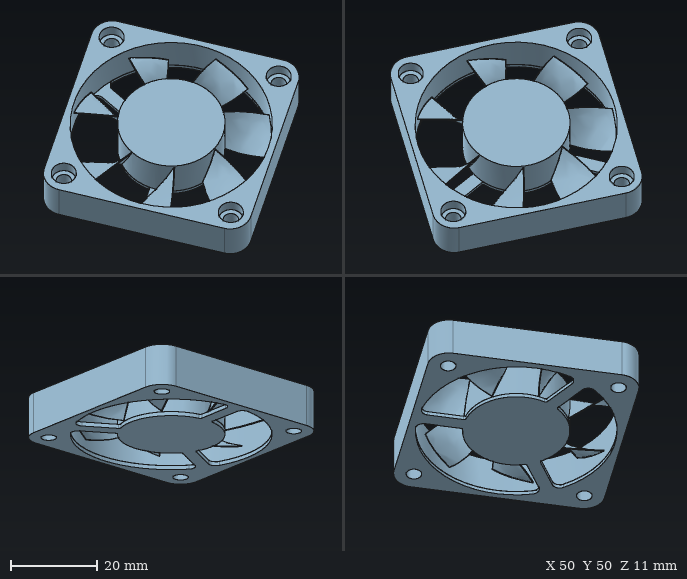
import cadquery as cq
import math

frame_width = 50.0
frame_height = 10.0
corner_radius = 5.0
bore_diameter = 47.0

hole_spacing = 40.4
hole_diameter = 3.6
counterbore_diameter = 5.8
counterbore_depth = 3.0

floor_thickness = 1.0
opening_diameter = 46.9
spoke_width = 3.3
spoke_angles = (30, 150, 270)
outer_corner_radius = 1.8
inner_corner_radius = 0.5

hub_diameter = 25.0
overall_height = 11.0
blade_count = 7
blade_tip_diameter = 46.6
blade_thickness = 0.25
first_blade_angle = 270.0

blade_chords = (
    (11.0, (0.8, 1.15), (3.9, 10.5)),
    (17.5, (-1.85, 1.85), (5.4, 8.9)),
    (23.5, (-3.4, 3.45), (6.25, 6.6)),
)


def make_floor_openings():
    """The three air openings left between the motor mount, the spokes and the rim."""
    openings = (
        cq.Workplane("XY").circle(opening_diameter / 2).circle(hub_diameter / 2).extrude(floor_thickness)
    )
    for angle in spoke_angles:
        spoke = (
            cq.Workplane("XY")
            .rect(frame_width / 2, spoke_width)
            .extrude(floor_thickness)
            .translate((frame_width / 4, 0, 0))
            .rotate((0, 0, 0), (0, 0, 1), angle)
        )
        openings = openings.cut(spoke)

    middle_radius = (opening_diameter + hub_diameter) / 4

    def is_outer(edge):
        center = edge.Center()
        return math.hypot(center.x, center.y) > middle_radius

    outer_corners = [edge for edge in openings.edges("|Z").vals() if is_outer(edge)]
    openings = openings.newObject(outer_corners).fillet(outer_corner_radius)
    inner_corners = [edge for edge in openings.edges("|Z").vals() if not is_outer(edge)]
    return openings.newObject(inner_corners).fillet(inner_corner_radius)


def make_housing():
    """Square frame with a round bore, spoked floor and four screw holes."""
    frame = (
        cq.Workplane("XY")
        .rect(frame_width, frame_width)
        .extrude(frame_height)
        .edges("|Z")
        .fillet(corner_radius)
    )
    bore = (
        cq.Workplane("XY", origin=(0, 0, floor_thickness))
        .circle(bore_diameter / 2)
        .extrude(frame_height - floor_thickness)
    )
    return (
        frame.cut(bore)
        .cut(make_floor_openings())
        .faces(">Z")
        .workplane(origin=(0, 0, frame_height))
        .rect(hole_spacing, hole_spacing, forConstruction=True)
        .vertices()
        .cboreHole(hole_diameter, counterbore_diameter, counterbore_depth)
    )


def make_chord_section(distance, low, high):
    """Thin rectangle along one blade chord, in the plane at this distance along +X."""
    run = high[0] - low[0]
    rise = high[1] - low[1]
    length = math.hypot(run, rise)
    offset_side = -rise / length * blade_thickness / 2
    offset_z = run / length * blade_thickness / 2
    return cq.Wire.makePolygon(
        [
            cq.Vector(distance, low[0] + offset_side, low[1] + offset_z),
            cq.Vector(distance, high[0] + offset_side, high[1] + offset_z),
            cq.Vector(distance, high[0] - offset_side, high[1] - offset_z),
            cq.Vector(distance, low[0] - offset_side, low[1] - offset_z),
        ],
        close=True,
    )


def make_blade():
    """Twisted blade pointing along +X, with its tip trimmed to the rotor's swept cylinder."""
    sections = [make_chord_section(*chord) for chord in blade_chords]
    blade = cq.Workplane(cq.Solid.makeLoft(sections))
    swept_cylinder = (
        cq.Workplane("XY", origin=(0, 0, floor_thickness))
        .circle(blade_tip_diameter / 2)
        .extrude(overall_height - floor_thickness)
    )
    return blade.intersect(swept_cylinder)


def make_rotor():
    """Hub resting on the motor mount, with its ring of blades."""
    rotor = (
        cq.Workplane("XY", origin=(0, 0, floor_thickness))
        .circle(hub_diameter / 2)
        .extrude(overall_height - floor_thickness)
    )
    blade = make_blade()
    for index in range(blade_count):
        angle = first_blade_angle + index * 360 / blade_count
        rotor = rotor.union(blade.rotate((0, 0, 0), (0, 0, 1), angle))
    return rotor


housing = make_housing()
rotor = make_rotor()

result = cq.Compound.makeCompound([housing.solids().val(), rotor.solids().val()])